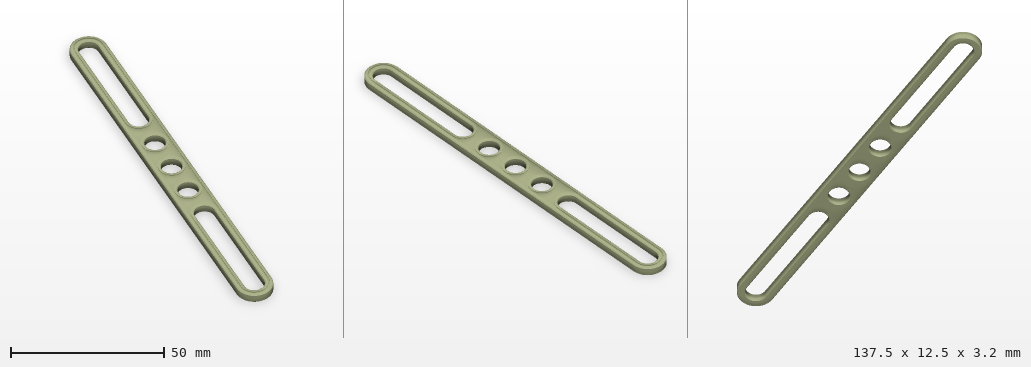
import cadquery as cq

length = 137.5
width = 12.5
thickness = 3.2

pitch_count = 10
pitch = (length - width) / pitch_count

bore_diameter = 7.0
collar_diameter = 9.2
hole_count = 3

slot_inner_center = 2 * pitch
slot_outer_center = (length - width) / 2
slot_span = slot_outer_center - slot_inner_center
slot_middle = (slot_outer_center + slot_inner_center) / 2

border_width = 1.1
recess_depth = 0.2

edge_chamfer = 0.3

hole_points = [((i - (hole_count - 1) / 2) * pitch, 0) for i in range(hole_count)]
slot_points = [(-slot_middle, 0), (slot_middle, 0)]


def opening_columns(diameter, base, height):
    """Round columns at the holes and long columns at the slots, all of one diameter."""
    plane = cq.Workplane("XY").workplane(offset=base)
    rounds = plane.pushPoints(hole_points).circle(diameter / 2).extrude(height)
    slots = plane.pushPoints(slot_points).slot2D(slot_span + diameter, diameter).extrude(height)
    return rounds.union(slots)


def pierced_bar():
    """The bar with its openings cut through and every edge chamfered."""
    blank = cq.Workplane("XY").slot2D(length, width).extrude(thickness)
    pierced = blank.cut(opening_columns(bore_diameter, 0, thickness))
    return pierced.faces("<Z or >Z").chamfer(edge_chamfer)


def top_recess():
    """Space cleared inside the border, leaving a collar around every opening."""
    floor_height = thickness - recess_depth
    pocket = (
        cq.Workplane("XY")
        .workplane(offset=floor_height)
        .slot2D(length - 2 * border_width, width - 2 * border_width)
        .extrude(recess_depth)
    )
    return pocket.cut(opening_columns(collar_diameter, floor_height, recess_depth))


result = pierced_bar().cut(top_recess())